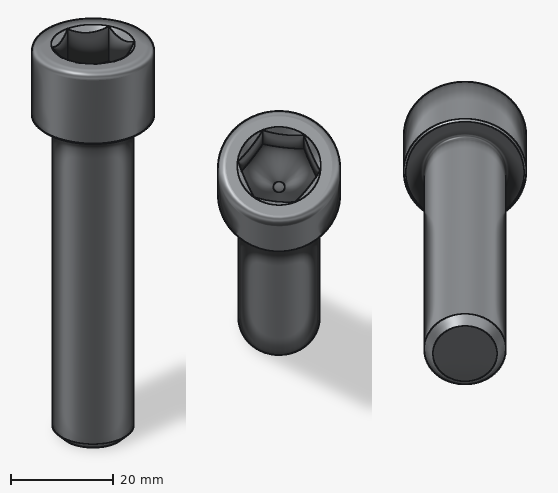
import cadquery as cq
import math

total_length = 86.0
head_diameter = 24.0
head_height = 16.0
shank_diameter = 16.0
shank_length = total_length - head_height

head_top_round = 1.6
head_bottom_chamfer = 0.4
neck_fillet = 0.8
tip_chamfer = 1.7

socket_across_flats = 14.0
socket_across_corners = socket_across_flats / math.cos(math.pi / 6)
socket_corner_depth = 7.7
socket_mouth_diameter = 16.3
socket_mouth_angle = math.radians(45)
socket_floor_diameter = 2.2
socket_floor_angle = math.radians(30)


def make_head():
    head = cq.Workplane("XY").circle(head_diameter / 2).extrude(head_height)
    head = head.faces(">Z").edges().fillet(head_top_round)
    return head.faces("<Z").edges().chamfer(head_bottom_chamfer)


def make_shank():
    shank = cq.Workplane("XY").circle(shank_diameter / 2).extrude(-shank_length)
    return shank.faces("<Z").edges().chamfer(tip_chamfer)


def make_neck():
    """Ring that blends the shank into the bearing face with a concave fillet."""
    shank_radius = shank_diameter / 2
    arc_centre_radius = shank_radius + neck_fillet
    arc_offset = neck_fillet * math.sqrt(0.5)
    inner_radius = shank_radius / 2
    return (
        cq.Workplane("XZ")
        .moveTo(inner_radius, 0)
        .lineTo(arc_centre_radius, 0)
        .threePointArc(
            (arc_centre_radius - arc_offset, arc_offset - neck_fillet),
            (shank_radius, -neck_fillet),
        )
        .lineTo(inner_radius, -neck_fillet)
        .close()
        .revolve(360, (0, 0), (0, 1))
    )


def make_socket():
    """Hexagonal prism with a conical mouth and a truncated conical floor."""
    corner_radius = socket_across_corners / 2
    floor_radius = socket_floor_diameter / 2
    cone_height = (corner_radius - floor_radius) * math.tan(socket_floor_angle)
    socket_depth = socket_corner_depth + cone_height
    floor_z = head_height - socket_depth
    hexagon = (
        cq.Workplane("XY", origin=(0, 0, floor_z))
        .polygon(6, socket_across_corners)
        .extrude(socket_depth)
    )
    floor_envelope = (
        cq.Workplane("XZ")
        .moveTo(0, floor_z)
        .lineTo(floor_radius, floor_z)
        .lineTo(corner_radius, floor_z + cone_height)
        .lineTo(corner_radius, head_height)
        .lineTo(0, head_height)
        .close()
        .revolve(360, (0, 0), (0, 1))
    )
    mouth_radius = socket_mouth_diameter / 2
    mouth_depth = mouth_radius * math.tan(socket_mouth_angle)
    mouth_tip = cq.Vector(0, 0, head_height - mouth_depth)
    mouth = cq.Workplane("XY").add(cq.Solid.makeCone(0, mouth_radius, mouth_depth, mouth_tip))
    return hexagon.intersect(floor_envelope).union(mouth)


result = make_head().union(make_shank()).union(make_neck()).cut(make_socket())